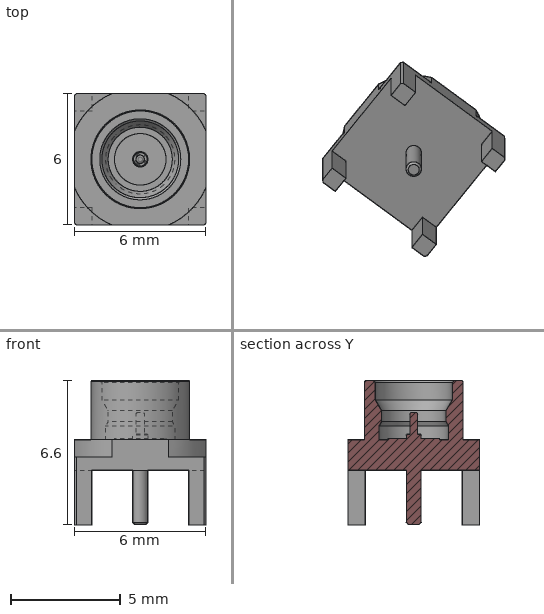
import cadquery as cq

total_height = 6.6
base_underside = 2.5
corner_ledge = 3.1
base_top = 3.9

base_width = 6.0
corner_chamfer = 0.09
base_round_diameter = 6.52
leg_width = 0.8

barrel_diameter = 4.5
barrel_edge_chamfer = 0.045
mouth_diameter = 3.5
mouth_chamfer = 0.1
throat_diameter = 2.925
relief_diameter = 3.155
cone_start_depth = 0.885
throat_start_depth = 1.38
throat_end_depth = 1.875
relief_start_depth = 2.08
socket_depth = total_height - base_top

insulator_diameter = 2.35
insulator_height = 0.05

pin_diameter = 0.7
pin_bottom = 0.025
pin_bottom_chamfer = 0.1
pin_shoulder_height = 0.2
pin_shoulder_chamfer = 0.04
contact_diameter = 0.38
contact_tip_radius = 0.09
contact_height = 0.99


def cylinder(diameter, bottom, top):
    return cq.Workplane("XY").workplane(offset=bottom).circle(diameter / 2).extrude(top - bottom)


def make_base():
    """Chamfered square block, cut by two crossing channels to leave four legs."""
    block = cq.Workplane("XY").rect(base_width, base_width).extrude(base_top)
    clearance = base_width - 2 * leg_width
    channel_x = cq.Workplane("XY").rect(base_width, clearance).extrude(base_underside)
    channel_y = cq.Workplane("XY").rect(clearance, base_width).extrude(base_underside)
    block = block.edges("|Z").chamfer(corner_chamfer).cut(channel_x).cut(channel_y)

    trim_height = base_top - corner_ledge
    corners = cq.Workplane("XY").workplane(offset=corner_ledge).rect(base_width, base_width)
    corners = corners.extrude(trim_height).cut(cylinder(base_round_diameter, corner_ledge, base_top))
    return block.cut(corners)


def make_barrel():
    barrel = cylinder(barrel_diameter, base_top, total_height)
    return barrel.faces(">Z").edges().chamfer(barrel_edge_chamfer)


def make_socket():
    """Revolved cavity: chamfered mouth, lead-in cone, throat and flared relief."""
    mouth_radius = mouth_diameter / 2
    throat_radius = throat_diameter / 2
    relief_radius = relief_diameter / 2
    profile = [
        (0, total_height),
        (mouth_radius + mouth_chamfer, total_height),
        (mouth_radius, total_height - mouth_chamfer),
        (mouth_radius, total_height - cone_start_depth),
        (throat_radius, total_height - throat_start_depth),
        (throat_radius, total_height - throat_end_depth),
        (relief_radius, total_height - relief_start_depth),
        (relief_radius, total_height - socket_depth),
        (0, total_height - socket_depth),
    ]
    return cq.Workplane("XZ").polyline(profile).close().revolve(360, (0, 0), (0, 1))


def make_pin():
    """Solder pin below the base, stepping down to a slim contact in the socket."""
    shoulder_top = base_top + insulator_height + pin_shoulder_height
    shank = cylinder(pin_diameter, pin_bottom, shoulder_top)
    shank = shank.faces("<Z").chamfer(pin_bottom_chamfer)
    shank = shank.faces(">Z").chamfer(pin_shoulder_chamfer)
    contact = cylinder(contact_diameter, shoulder_top, shoulder_top + contact_height)
    contact = contact.faces(">Z").edges().fillet(contact_tip_radius)
    return shank.union(contact)


insulator = cylinder(insulator_diameter, base_top, base_top + insulator_height)

result = make_base().union(make_barrel()).cut(make_socket()).union(insulator).union(make_pin())